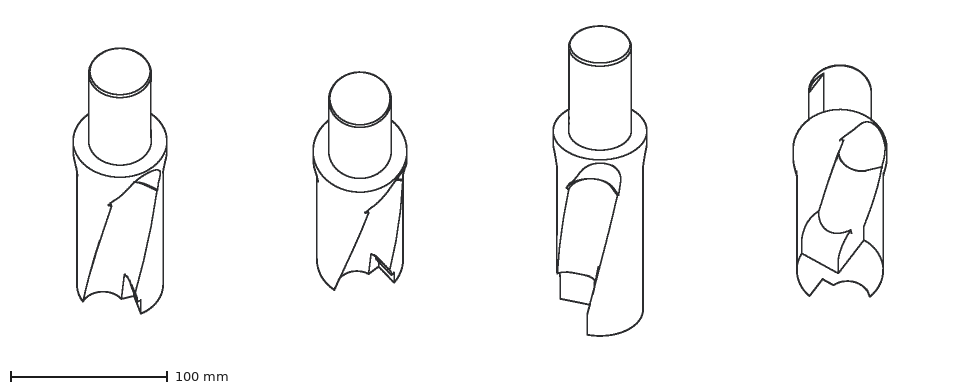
import cadquery as cq
import math


body_radius = 27.6
flange_radius = 30.0
shank_radius = 20.0
neck_z = 117.0
flange_z = 134.3
shoulder_z = 144.57
shank_length = 70.0
top_z = shoulder_z + shank_length
chamfer_height = 2.0
chamfer_depth = 0.8

flat_depth = 2.0
flat_bottom_z = 152.2
flat_top_z = 207.8

wall_start_angle = 173.6
flute_opening = 70.0
flute_twist_rate = 0.43
flute_end_z = 112.0
wall_inner_radius = 18.0
runout_radius = 36.0
runout_tilt = 29.0

edge_x = body_radius * math.cos(math.radians(flute_opening))
edge_y = body_radius * math.sin(math.radians(flute_opening))
floor_radius = ((wall_inner_radius - edge_x) ** 2 + edge_y**2) / (2 * edge_y)
floor_centre = math.hypot(wall_inner_radius, floor_radius)
floor_direction = math.degrees(math.atan2(floor_radius, wall_inner_radius))

cut_margin = 5.0
cut_reach = body_radius + cut_margin
seat_step_z = 14.8
roof_radius = 18.0
inner_face_x = 2.5
inner_wall_y = -0.3
outer_wall_x = 11.7
outer_seat_y = 5.7
outer_seat_height = 13.6
outer_face_y = 3.2
outer_pocket_height = 24.0


def make_body():
    """Turned blank: body, cone, flange and chamfered shank."""
    profile = [
        (0, 0),
        (body_radius, 0),
        (body_radius, neck_z),
        (flange_radius, flange_z),
        (flange_radius, shoulder_z),
        (shank_radius, shoulder_z),
        (shank_radius, top_z - chamfer_height),
        (shank_radius - chamfer_depth, top_z),
        (0, top_z),
    ]
    return cq.Workplane("XZ").polyline(profile).close().revolve(360, (0, 0), (0, 1))


def make_shank_flat():
    """Block removed to leave the clamping flat."""
    return cq.Workplane("XY").box(
        2 * shank_radius, flat_depth, flat_top_z - flat_bottom_z, centered=(True, False, False)
    ).translate((0, shank_radius - flat_depth, flat_bottom_z))


def flute_section(wall_angle):
    """Floor circle with one square corner, of which one side is the radial wall."""

    def place(along_wall, from_wall):
        turn = math.radians(wall_angle)
        return (
            along_wall * math.cos(turn) + from_wall * math.sin(turn),
            along_wall * math.sin(turn) - from_wall * math.cos(turn),
        )

    outer = wall_inner_radius + floor_radius
    diagonal = floor_radius * math.sqrt(0.5)
    return (
        cq.Workplane("XY")
        .moveTo(*place(wall_inner_radius, 0))
        .lineTo(*place(outer, 0))
        .lineTo(*place(outer, floor_radius))
        .threePointArc(
            place(wall_inner_radius - diagonal, floor_radius + diagonal),
            place(wall_inner_radius, 0),
        )
        .close()
    )


def make_flute():
    """Helical groove followed by a torus that carries it out through the flange."""
    groove = flute_section(wall_start_angle).twistExtrude(flute_end_z, flute_twist_rate * flute_end_z)
    runout_axis = floor_centre - floor_radius + runout_radius
    ring = (
        flute_section(floor_direction)
        .revolve(360, (runout_axis, 0), (runout_axis, 1))
        .rotate((0, 0, 0), (1, 0, 0), -runout_tilt)
    )
    upper_half = cq.Workplane("XY").circle(runout_axis).extrude(runout_axis)
    end_direction = wall_start_angle - floor_direction + flute_twist_rate * flute_end_z
    runout = (
        ring.intersect(upper_half)
        .translate((0, 0, flute_end_z))
        .rotate((0, 0, 0), (0, 0, 1), end_direction)
    )
    return groove, runout


def pocket_outline(plane, face):
    """Pocket profile: flat face, then a quarter-round roof, open away from the axis."""
    roof_end = face - roof_radius
    roof_z = seat_step_z + roof_radius
    diagonal = roof_radius * math.sqrt(0.5)
    return (
        cq.Workplane(plane)
        .moveTo(-cut_reach, -cut_margin)
        .lineTo(face, -cut_margin)
        .lineTo(face, seat_step_z)
        .threePointArc((roof_end + diagonal, seat_step_z + diagonal), (roof_end, roof_z))
        .lineTo(-cut_reach, roof_z)
        .close()
    )


def make_inner_pocket():
    """Pocket on the -X, +Y side, with its face looking toward -X."""
    outline = pocket_outline("XZ", inner_face_x)
    return outline.extrude(-(cut_reach - inner_wall_y)).translate((0, inner_wall_y, 0))


def seat_block(length, face_y, height):
    """Block from outside the -Y side of the body up to the given face."""
    block = cq.Workplane("XY").box(length, cut_reach + face_y, height, centered=False)
    return block.translate((0, -cut_reach, 0))


def make_outer_pocket():
    """Pocket on the +X, -Y side, with its face looking toward -Y and a deeper insert seat."""
    length = cut_reach - outer_wall_x
    outline = pocket_outline("YZ", outer_face_y)
    height_limit = seat_block(length, outer_face_y, outer_pocket_height)
    pocket = outline.extrude(length).intersect(height_limit)
    seat = seat_block(length, outer_seat_y, outer_seat_height)
    return pocket.union(seat).translate((outer_wall_x, 0, 0))


result = make_body().cut(make_shank_flat())
for cutter in make_flute():
    opposite_cutter = cutter.rotate((0, 0, 0), (0, 0, 1), 180)
    result = result.cut(cutter).cut(opposite_cutter)
result = result.cut(make_inner_pocket()).cut(make_outer_pocket())